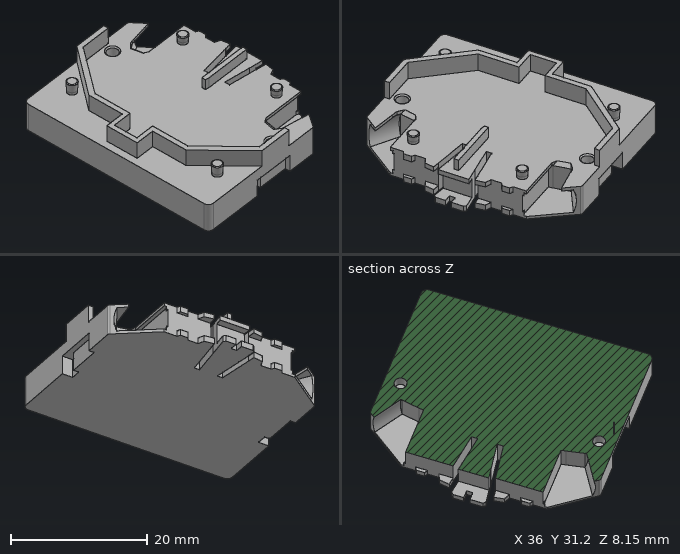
import cadquery as cq
import math

width = 36.0
half_width = width / 2
body_height = 5.15
wall_height = 3.0
corner_radius = 0.95
side_end_y = 23.5
shoulder_x = 11.4
edge_y = 28.42
shoulder_radius = 0.5
clearance = 1.0

bump_x = 8.2
bump_root_width = 1.9
bump_tip_width = 1.3
bump_length = 0.5
bump_bottom_z = 4.13
finger_bottom_z = 4.34
lower_plate_height = 1.0
tongue_top_y = 29.92
tongue_half_width = 2.58
slot_end_y = 22.63
slot_inner_x = 1.55
slot_outer_x = 2.46
finger_inner_x = 3.45
finger_outer_x = 5.5
finger_shoulder_x = 5.06
finger_lean = 0.17
finger_tip_y = 29.67
finger_shoulder_y = 29.42
prong_tip_y = 31.2
prong_corner = 0.36
prong_gap_width = 0.95

rib_x = 0.18
rib_width = 0.8
rib_height = 1.9
rib_start_y = 19.5
rib_end_y = 28.7
rib_corner = 0.12
rib_corner_length = 0.7

pocket_floor_z = 0.5
pocket_roof_z = 4.6
pocket_wall_x = 10.75
opening_wall_x = 11.37
opening_wall_end_y = 20.5
opening_mouth = (15.55, 25.2)
opening_side_end = (14.7, 20.25)
opening_end_outer = (13.83, 19.27)
opening_end_inner = (11.83, 19.7)
pocket_end_outer = (14.25, 19.87)
pocket_end_inner = (11.45, 20.4)
pocket_mouth = (16.95, 24.22)
pocket_bulge = 0.45
wedge_length = 0.5
wedge_rise = 0.25
lower_wedge_top_z = 1.15

recess_start_y = 10.9
recess_step_y = 12.57
recess_end_y = 18.2
recess_depth = 0.9
recess_deep_depth = 1.8
recess_height = 3.1

wall_end_y = 18.02
wall_side_thickness = 0.9
wall_outer = [(half_width, 11.95), (9.45, 4.75), (2.95, 4.75), (2.95, 1.27)]
wall_inner = [(half_width - wall_side_thickness, 12.35), (9.0, 5.62), (2.18, 5.62), (2.18, 2.1)]

low_pin_position = (14.1, 6.37)
low_pin_height = 2.03
high_pin_position = (9.1, 25.5)
high_pin_height = 1.5
pin_base_radius = 0.82
pin_base_height = 0.45
pin_rim_radius = 0.92
pin_top_radius = 0.76
pin_chamfer_height = 0.12
socket_position = (15.48, 17.1)
socket_mouth_radius = 1.2
socket_neck_radius = 0.98
socket_end_radius = 0.8
socket_depth = 2.5


def mirrored(points):
    """Closed outline: the right-hand points, then the same points reflected in X = 0."""
    return points + [(-x, y) for x, y in reversed(points)]


def plate(points, bottom, top):
    """Straight plate with the given outline between two heights."""
    return cq.Workplane("XY").workplane(offset=bottom).polyline(points).close().extrude(top - bottom)


def both_sides(shape):
    """A shape together with its reflection in X = 0."""
    return shape.union(shape.mirror("YZ"))


def make_body():
    """Main block with rounded corners along the straight edge and at the shoulders."""
    outline = mirrored([(half_width, 0), (half_width, side_end_y), (shoulder_x, edge_y)])
    body = plate(outline, 0, body_height)
    body = body.edges("|Z and <Y").fillet(corner_radius)
    side_corners = cq.selectors.BoxSelector(
        (-half_width - clearance, side_end_y - clearance, 0),
        (half_width + clearance, side_end_y + clearance, body_height),
    )
    return body.edges("|Z").edges(side_corners).fillet(shoulder_radius)


def make_edge_lips():
    """Bumps and fingers at the top and at the bottom of the latch edge."""
    bump = [
        (bump_x + bump_root_width / 2, edge_y),
        (bump_x + bump_tip_width / 2, edge_y + bump_length),
        (bump_x - bump_tip_width / 2, edge_y + bump_length),
        (bump_x - bump_root_width / 2, edge_y),
    ]
    finger = [
        (finger_outer_x, edge_y),
        (finger_shoulder_x, finger_shoulder_y),
        (finger_inner_x, finger_tip_y),
        (finger_inner_x - finger_lean, edge_y),
    ]
    lips = None
    for outline, upper_bottom in ((bump, bump_bottom_z), (finger, finger_bottom_z)):
        rooted = [(outline[0][0], edge_y - clearance)] + outline + [(outline[-1][0], edge_y - clearance)]
        pair = plate(rooted, upper_bottom, body_height).union(plate(rooted, 0, lower_plate_height))
        lips = pair if lips is None else lips.union(pair)
    return both_sides(lips)


def cut_slots(body):
    """Two leaning slots that set the tongue free."""
    lean = (finger_inner_x - slot_outer_x) / (finger_tip_y - slot_end_y)
    reach = prong_tip_y - slot_end_y
    slot = [
        (slot_inner_x, slot_end_y),
        (slot_outer_x, slot_end_y),
        (slot_outer_x + lean * reach, prong_tip_y),
        (slot_inner_x + lean * reach, prong_tip_y),
    ]
    return body.cut(both_sides(plate(slot, 0, body_height)))


def make_tongue_end():
    """End of the tongue: a thin upper plate, the web and two lower prongs."""
    lean = (tongue_half_width - slot_inner_x) / (tongue_top_y - slot_end_y)
    root_y = edge_y - clearance
    root_x = slot_inner_x + lean * (root_y - slot_end_y)
    web_x = slot_inner_x + lean * (rib_end_y - slot_end_y)
    prong_x = slot_inner_x + lean * (prong_tip_y - prong_corner - slot_end_y)
    top = mirrored([(root_x, root_y), (tongue_half_width, tongue_top_y)])
    web = mirrored([(root_x, root_y), (web_x, rib_end_y)])
    prongs = mirrored([
        (root_x, root_y),
        (prong_x, prong_tip_y - prong_corner),
        (prong_x - prong_corner, prong_tip_y),
    ])
    gap_length = prong_tip_y - tongue_top_y
    gap = cq.Workplane("XY").box(prong_gap_width, gap_length, lower_plate_height, centered=(True, False, False))
    lower = plate(prongs, 0, lower_plate_height).cut(gap.translate((rib_x, tongue_top_y, 0)))
    return plate(top, finger_bottom_z, body_height).union(plate(web, 0, body_height)).union(lower)


def make_rib():
    """Upright rib along the tongue, narrowed at its inner end."""
    left = rib_x - rib_width / 2
    right = rib_x + rib_width / 2
    outline = [
        (left, rib_start_y),
        (right - rib_corner, rib_start_y),
        (right, rib_start_y + rib_corner_length),
        (right, rib_end_y),
        (left, rib_end_y),
    ]
    return plate(outline, body_height, body_height + rib_height)


def make_pocket():
    """Wire pocket on the +X side: a funnel under the top skin and an opening through the skin."""
    outside = (half_width + clearance, edge_y + clearance)
    wall_start = (opening_wall_x, edge_y + clearance)
    wall_end = (opening_wall_x, opening_wall_end_y)

    def run_out(start, end):
        """The end point of a slanting side, carried on past the sloped corner."""
        length = math.dist(start, end)
        return tuple(e + clearance * (e - s) / length for s, e in zip(start, end))

    pocket_side_out = run_out(pocket_end_outer, pocket_mouth)
    funnel = plate(
        [
            (pocket_wall_x, edge_y + clearance),
            (pocket_wall_x, opening_wall_end_y),
            pocket_end_inner,
            pocket_end_outer,
            pocket_side_out,
            outside,
        ],
        pocket_floor_z,
        pocket_roof_z,
    )

    run_x = pocket_side_out[0] - pocket_end_outer[0]
    run_y = pocket_side_out[1] - pocket_end_outer[1]
    section = cq.Plane(origin=(*pocket_end_outer, 0), xDir=(run_y, -run_x, 0), normal=(-run_x, -run_y, 0))
    bulge = (
        cq.Workplane(section)
        .moveTo(0, pocket_floor_z)
        .threePointArc((pocket_bulge, (pocket_floor_z + pocket_roof_z) / 2), (0, pocket_roof_z))
        .close()
        .extrude(-math.hypot(run_x, run_y))
    )

    opening_side_out = run_out(opening_side_end, opening_mouth)
    opening_sides = [opening_side_end, opening_side_out, outside, wall_start, wall_end]
    opening = (
        cq.Workplane("XY")
        .workplane(offset=pocket_roof_z)
        .polyline(opening_sides + [pocket_end_inner, pocket_end_outer])
        .close()
        .workplane(offset=body_height - pocket_roof_z)
        .polyline(opening_sides + [opening_end_inner, opening_end_outer])
        .close()
        .loft(ruled=True)
    )
    pocket = funnel.union(bulge).union(opening)

    wedge = [
        (pocket_wall_x, edge_y - wedge_length),
        (pocket_wall_x + wedge_rise, edge_y),
        (pocket_wall_x, edge_y),
    ]
    for bottom, top in ((pocket_floor_z, lower_wedge_top_z), (bump_bottom_z, pocket_roof_z)):
        pocket = pocket.cut(plate(wedge, bottom, top))
    return pocket


def make_recess():
    """Shallow recess low in the +X side, with a deeper step at one end."""
    floor_x = half_width - recess_depth
    deep_floor_x = half_width - recess_deep_depth
    outline = [
        (half_width, recess_start_y),
        (deep_floor_x, recess_start_y),
        (deep_floor_x, recess_step_y),
        (floor_x, recess_step_y),
        (floor_x, recess_end_y),
        (half_width, recess_end_y),
    ]
    return plate(outline, 0, recess_height)


def make_wall():
    """Raised wall that follows the straight edge and steps out around a middle notch."""
    outer = mirrored([(half_width, wall_end_y)] + wall_outer)
    inner = mirrored([(half_width - wall_side_thickness, wall_end_y)] + wall_inner)
    top = body_height + wall_height
    return plate(outer, body_height, top).cut(plate(inner, body_height, top))


def turned(profile, position):
    """Round shape from a (radius, height) profile, standing on the top face of the body."""
    shape = cq.Workplane("XZ").polyline(profile).close().revolve(360, (0, 0, 0), (0, 1, 0))
    return shape.translate((*position, body_height))


def make_pin(position, height):
    """Pin with a straight base, a slightly widening head and a chamfered top."""
    profile = [
        (0, 0),
        (pin_base_radius, 0),
        (pin_base_radius, pin_base_height),
        (pin_rim_radius, height - pin_chamfer_height),
        (pin_top_radius, height),
        (0, height),
    ]
    return turned(profile, position)


def make_socket():
    """Narrowing blind hole with a countersunk mouth."""
    profile = [
        (0, 0),
        (socket_mouth_radius, 0),
        (socket_neck_radius, socket_neck_radius - socket_mouth_radius),
        (socket_end_radius, -socket_depth),
        (0, -socket_depth),
    ]
    return turned(profile, socket_position)


body = make_body().union(make_edge_lips())
body = cut_slots(body)
body = body.union(make_tongue_end()).union(make_rib()).union(make_wall())
for cutter in (make_pocket(), make_recess(), make_socket()):
    body = body.cut(cutter).cut(cutter.mirror("YZ"))
for pin in (make_pin(low_pin_position, low_pin_height), make_pin(high_pin_position, high_pin_height)):
    body = body.union(both_sides(pin))

result = body